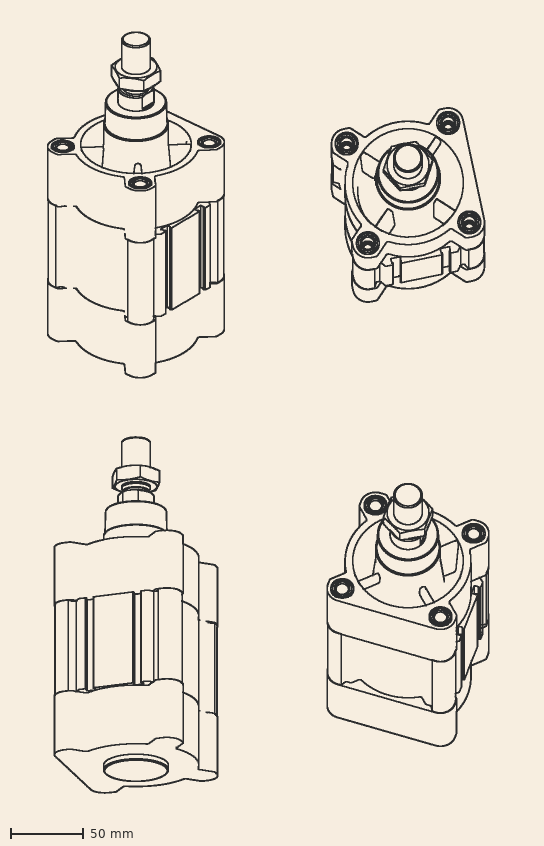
import cadquery as cq
import math

REAR_CAP_Z = 4.1
BARREL_BOTTOM_Z = 47.3
BARREL_TOP_Z = 114.3
FRONT_CAP_Z = 156.7
COLLAR_STEP_Z = 173.7
COLLAR_TOP_Z = 191.5
ROD_TOP_Z = 242.5

CAP_WIDTH = 93.0
CAP_HALF = CAP_WIDTH / 2
CAP_RADIUS = 43.7
LUG_OFFSET = 36.0
LUG_RADIUS = CAP_HALF - LUG_OFFSET
LUG_BLEND = 2.5
VALLEY_BLEND = 1.7

BARREL_HALF = 46.0
BARREL_RADIUS = 43.5
BARREL_BLEND = 0.7
SLOT_OFFSET = 17.5
SLOT_WIDTH = 6.5
SLOT_MOUTH = 5.0
SLOT_DEPTH = 4.5
SLOT_LIP = 1.5
SLOT_CHAMFER = 0.5
LUG_EDGE = 33.2
GROOVE_FLOOR = 42.2
GROOVE_START = 31.0
SIDE_GROOVE_END = 28.6
SIDE_FLAT_HALF = 25.5

PILOT_DIAMETER = 45.0
PILOT_CHAMFER = 0.7
NOSE_TOP_DIAMETER = 42.2
NOSE_BOTTOM_DIAMETER = 43.2
POCKET_RADIUS = 38.3
POCKET_DEPTH = 30.3
SHALLOW_DEPTH = 8.2
POCKET_FILLET = 2.2
DRAFT = math.tan(math.radians(7))
COLLAR_DRAFT = math.tan(math.radians(5.5))
RIB_RADIUS = 2.2
RIB_DROP = 1.7

SCREW_DIAMETER = 15.8
SCREW_CHAMFER = 1.2
COUNTERSINK_DIAMETER = 10.7
SCREW_BORE = 8.7
SCREW_BORE_DEPTH = 14.5
SCREW_CORE = 8.0
SCREW_CORE_DEPTH = 17.0
SOCKET_DIAMETER = 6.0
SOCKET_DEPTH = 2.5

ROD_DIAMETER = 25.0
ROD_BOTTOM_Z = BARREL_TOP_Z
ROD_SHOULDER_Z = 203.0
ROD_CHAMFER = 1.0
ROD_FLATS = 22.0
FLATS_BOTTOM_Z = 192.9
THREAD_DIAMETER = 20.0
THREAD_END_Z = 208.2
RELIEF_DIAMETER = 18.0
RELIEF_TOP_Z = 206.0
LAND_DIAMETER = 18.5
LAND_TOP_Z = 205.5

NUT_WIDTH = 30.0
NUT_HEIGHT = 10.5
NUT_BOTTOM_Z = 209.4
NUT_CHAMFER_DIAMETER = 29.0
NUT_CHAMFER_SLOPE = math.tan(math.radians(20))

FLANK_SHIFT = math.sqrt(2) * LUG_RADIUS
PICK_REACH = 0.2

CORNERS = [(sx * LUG_OFFSET, sy * LUG_OFFSET) for sx in (-1, 1) for sy in (-1, 1)]


def cylinder(diameter, bottom, top):
    return cq.Workplane("XY").workplane(offset=bottom).circle(diameter / 2).extrude(top - bottom)


def revolved(profile):
    """Solid swept about Z by a closed (radius, height) profile."""
    return cq.Workplane("XZ").polyline(profile).close().revolve(360, (0, 0), (0, 1))


def flank_valley(radius):
    """Smaller and larger coordinate of the point where a lug flank meets a centered circle."""
    along = math.sqrt(radius**2 - LUG_RADIUS**2)
    return (along - LUG_RADIUS) / math.sqrt(2), (along + LUG_RADIUS) / math.sqrt(2)


def round_edges(body, points, radius):
    """Fillet the vertical edges at the given (x, y) points and at their mirror images."""
    for x, y in points:
        for sx in (-1, 1):
            for sy in (-1, 1):
                low = (sx * x - PICK_REACH, sy * y - PICK_REACH, 0)
                high = (sx * x + PICK_REACH, sy * y + PICK_REACH, ROD_TOP_Z)
                body = body.edges(cq.selectors.BoxSelector(low, high)).edges("|Z").fillet(radius)
    return body


def end_cap(bottom, top):
    """Round cap with four corner lugs, filled out to a flat on its +Y side."""
    height = top - bottom
    plane = cq.Workplane("XY").workplane(offset=bottom)
    lugs = plane.transformed(rotate=(0, 0, 45)).rect(2 * CAP_WIDTH, 2 * LUG_RADIUS).extrude(height)
    lugs = lugs.union(lugs.rotate((0, 0, 0), (0, 0, 1), 90))
    square = plane.rect(CAP_WIDTH, CAP_WIDTH).extrude(height).edges("|Z").fillet(LUG_RADIUS)
    cap = lugs.union(cylinder(2 * CAP_RADIUS, bottom, top)).intersect(square)

    flank_corner = CAP_HALF - FLANK_SHIFT
    cap = round_edges(cap, [(flank_corner, CAP_HALF), (CAP_HALF, flank_corner)], LUG_BLEND)
    near, far = flank_valley(CAP_RADIUS)
    cap = round_edges(cap, [(near, far), (far, near)], VALLEY_BLEND)

    side_fill = plane.center(0, CAP_HALF - LUG_OFFSET / 2).rect(2 * LUG_OFFSET, LUG_OFFSET)
    return cap.union(side_fill.extrude(height))


def sensor_slot():
    """Slot cutter in the +X, +Y quarter, with a narrower chamfered mouth."""
    half_mouth = SLOT_MOUTH / 2
    profile = [
        (BARREL_HALF - SLOT_DEPTH, SLOT_WIDTH / 2),
        (BARREL_HALF - SLOT_LIP, SLOT_WIDTH / 2),
        (BARREL_HALF - SLOT_LIP, half_mouth),
        (BARREL_HALF - SLOT_CHAMFER, half_mouth),
        (BARREL_HALF, half_mouth + SLOT_CHAMFER),
    ]
    lower = [(x, -y) for x, y in reversed(profile)]
    plane = cq.Workplane("XY").workplane(offset=BARREL_BOTTOM_Z).center(0, SLOT_OFFSET)
    return plane.polyline(profile + lower).close().extrude(BARREL_TOP_Z - BARREL_BOTTOM_Z)


def barrel():
    """Extruded profile with grooved lugs and two sensor slots on each X side."""
    height = BARREL_TOP_Z - BARREL_BOTTOM_Z
    plane = cq.Workplane("XY").workplane(offset=BARREL_BOTTOM_Z)
    valley = flank_valley(BARREL_RADIUS)
    groove_end = GROOVE_FLOOR - FLANK_SHIFT
    body = cylinder(2 * BARREL_RADIUS, BARREL_BOTTOM_Z, BARREL_TOP_Z)
    body = body.union(plane.rect(2 * BARREL_HALF, 2 * SIDE_FLAT_HALF).extrude(height))

    arc_middle = LUG_OFFSET + (BARREL_HALF - LUG_OFFSET) / math.sqrt(2)
    lug = (
        plane.moveTo(0, 0)
        .lineTo(*valley)
        .lineTo(groove_end, GROOVE_FLOOR)
        .lineTo(GROOVE_START, GROOVE_FLOOR)
        .lineTo(LUG_EDGE, BARREL_HALF)
        .lineTo(LUG_OFFSET, BARREL_HALF)
        .threePointArc((arc_middle, arc_middle), (BARREL_HALF, LUG_OFFSET))
        .lineTo(BARREL_HALF, LUG_EDGE)
        .lineTo(GROOVE_FLOOR, GROOVE_START)
        .lineTo(GROOVE_FLOOR, SIDE_GROOVE_END)
        .lineTo(BARREL_HALF, SIDE_FLAT_HALF)
        .close()
        .extrude(height)
    )
    lug_pair = lug.union(lug.mirror("YZ"))
    body = body.union(lug_pair).union(lug_pair.mirror("XZ"))

    body = round_edges(body, [valley], VALLEY_BLEND)
    groove_edges = [
        (groove_end, GROOVE_FLOOR),
        (GROOVE_START, GROOVE_FLOOR),
        (GROOVE_FLOOR, GROOVE_START),
        (BARREL_HALF, SIDE_FLAT_HALF),
    ]
    body = round_edges(body, groove_edges, BARREL_BLEND)

    slot = sensor_slot()
    slots = slot.union(slot.mirror("XZ"))
    return body.cut(slots).cut(slots.mirror("YZ"))


def collar():
    """Pilot and slightly tapered nose around the rod."""
    pilot = cylinder(PILOT_DIAMETER, FRONT_CAP_Z, COLLAR_STEP_Z).faces(">Z").chamfer(PILOT_CHAMFER)
    nose = revolved([
        (0, COLLAR_STEP_Z),
        (NOSE_BOTTOM_DIAMETER / 2, COLLAR_STEP_Z),
        (NOSE_TOP_DIAMETER / 2, COLLAR_TOP_Z),
        (0, COLLAR_TOP_Z),
    ])
    return pilot.union(nose.faces(">Z").chamfer(PILOT_CHAMFER))


def pocket_ring(depth):
    """Drafted ring sunk below the front cap face, rounded along its floor."""
    floor = FRONT_CAP_Z - depth
    ring = revolved([
        (PILOT_DIAMETER / 2, FRONT_CAP_Z),
        (PILOT_DIAMETER / 2 + depth * COLLAR_DRAFT, floor),
        (POCKET_RADIUS - depth * DRAFT, floor),
        (POCKET_RADIUS, FRONT_CAP_Z),
    ])
    return ring.faces("<Z").edges().fillet(POCKET_FILLET)


def rib(angle):
    """Drafted rib with a round crown, lying along a radius at the given angle."""
    crown = FRONT_CAP_Z - RIB_DROP
    shoulder = crown - RIB_RADIUS
    floor = FRONT_CAP_Z - POCKET_DEPTH
    foot = RIB_RADIUS + (shoulder - floor) * DRAFT
    section = (
        cq.Workplane("YZ")
        .moveTo(-foot, floor)
        .lineTo(-RIB_RADIUS, shoulder)
        .threePointArc((0, crown), (RIB_RADIUS, shoulder))
        .lineTo(foot, floor)
        .close()
    )
    return section.extrude(CAP_RADIUS).rotate((0, 0, 0), (0, 0, 1), angle)


def cut_pocket(cap):
    """Sink a ring pocket with four ribs into the cap, shallower in its +Y quarter."""
    cap = cap.cut(pocket_ring(POCKET_DEPTH))
    deep_floor = FRONT_CAP_Z - POCKET_DEPTH
    shallow_floor = FRONT_CAP_Z - SHALLOW_DEPTH
    wedge_points = [(0, 0), (CAP_WIDTH, CAP_WIDTH), (-CAP_WIDTH, CAP_WIDTH)]
    wedge = cq.Workplane("XY").workplane(offset=deep_floor).polyline(wedge_points).close()
    wedge = wedge.extrude(POCKET_DEPTH - SHALLOW_DEPTH)
    outline = cylinder(POCKET_RADIUS + CAP_RADIUS, deep_floor, FRONT_CAP_Z)
    cap = cap.union(wedge.intersect(outline))
    low = (-CAP_WIDTH, 0, shallow_floor - PICK_REACH)
    high = (CAP_WIDTH, CAP_WIDTH, shallow_floor + PICK_REACH)
    floor_edges = cq.selectors.BoxSelector(low, high)
    cap = cap.edges(floor_edges).edges("%CIRCLE").fillet(POCKET_FILLET)
    for quarter in range(4):
        cap = cap.union(rib(45 + 90 * quarter).intersect(outline))
    return cap


def screw_recess():
    """Groove around a screw head and the stepped bore inside it, centered on the Z axis."""
    top = FRONT_CAP_Z
    groove = revolved([
        (SCREW_DIAMETER / 2, top),
        (SCREW_DIAMETER / 2, top - SCREW_CHAMFER),
        (SCREW_DIAMETER / 2 - SCREW_CHAMFER, top),
    ])
    countersink_depth = (COUNTERSINK_DIAMETER - SCREW_BORE) / 2
    bore_floor = top - SCREW_BORE_DEPTH
    core_floor = top - SCREW_CORE_DEPTH
    bore = revolved([
        (0, top),
        (COUNTERSINK_DIAMETER / 2, top),
        (SCREW_BORE / 2, top - countersink_depth),
        (SCREW_BORE / 2, bore_floor),
        (SCREW_CORE / 2, bore_floor),
        (SCREW_CORE / 2, core_floor),
        (SOCKET_DIAMETER / 2, core_floor),
        (SOCKET_DIAMETER / 2, core_floor - SOCKET_DEPTH),
        (0, core_floor - SOCKET_DEPTH),
    ])
    return groove.union(bore)


def make_housing():
    pilot = cylinder(PILOT_DIAMETER, 0, REAR_CAP_Z).faces("<Z").chamfer(PILOT_CHAMFER)
    body = pilot.union(end_cap(REAR_CAP_Z, BARREL_BOTTOM_Z))
    body = body.union(barrel())
    body = body.union(cut_pocket(end_cap(BARREL_TOP_Z, FRONT_CAP_Z)))
    body = body.union(collar())
    recess = screw_recess()
    for x, y in CORNERS:
        body = body.cut(recess.translate((x, y, 0)))
    return body.cut(cylinder(ROD_DIAMETER, ROD_BOTTOM_Z, COLLAR_TOP_Z))


def make_rod():
    """Rod with two wrench flats, a relieved neck and a plain cylinder for its thread."""
    rod = cylinder(ROD_DIAMETER, ROD_BOTTOM_Z, ROD_SHOULDER_Z).faces(">Z").chamfer(ROD_CHAMFER)
    flats_height = ROD_SHOULDER_Z - FLATS_BOTTOM_Z
    for side in (-1, 1):
        flat = cq.Workplane("XY").workplane(offset=FLATS_BOTTOM_Z)
        flat = flat.center(side * (ROD_FLATS + ROD_DIAMETER) / 2, 0).rect(ROD_DIAMETER, ROD_DIAMETER)
        rod = rod.cut(flat.extrude(flats_height))
    stud = revolved([
        (0, ROD_SHOULDER_Z),
        (LAND_DIAMETER / 2, ROD_SHOULDER_Z),
        (LAND_DIAMETER / 2, LAND_TOP_Z),
        (RELIEF_DIAMETER / 2, LAND_TOP_Z),
        (RELIEF_DIAMETER / 2, RELIEF_TOP_Z),
        (THREAD_DIAMETER / 2, THREAD_END_Z),
        (THREAD_DIAMETER / 2, ROD_TOP_Z),
        (0, ROD_TOP_Z),
    ])
    return rod.union(stud.faces(">Z").chamfer(ROD_CHAMFER))


def make_nut():
    """Hexagon nut with points along Y, chamfered at both ends."""
    top = NUT_BOTTOM_Z + NUT_HEIGHT
    point_radius = NUT_WIDTH / math.sqrt(3)
    drop = (point_radius - NUT_CHAMFER_DIAMETER / 2) * NUT_CHAMFER_SLOPE
    hexagon = cq.Workplane("XY").workplane(offset=NUT_BOTTOM_Z).polygon(6, 2 * point_radius)
    nut = hexagon.extrude(NUT_HEIGHT).rotate((0, 0, 0), (0, 0, 1), 90)
    envelope = revolved([
        (0, NUT_BOTTOM_Z),
        (NUT_CHAMFER_DIAMETER / 2, NUT_BOTTOM_Z),
        (point_radius, NUT_BOTTOM_Z + drop),
        (point_radius, top - drop),
        (NUT_CHAMFER_DIAMETER / 2, top),
        (0, top),
    ])
    return nut.intersect(envelope).cut(cylinder(THREAD_DIAMETER, NUT_BOTTOM_Z, top))


housing = make_housing()
rod = make_rod()
nut = make_nut()

result = cq.Compound.makeCompound([housing.val(), rod.val(), nut.val()])